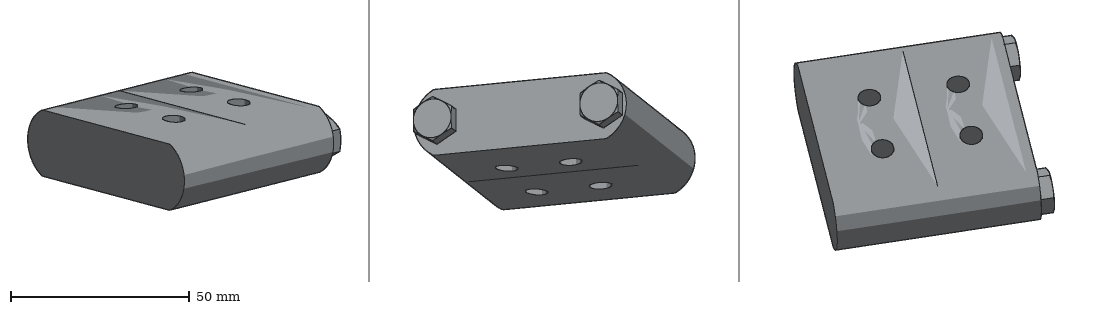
import cadquery as cq
import math

body_width = 63.2
body_length = 58.45
body_height = 19.25
flat_half_width = 25.4

edge_land_width = 0.5
edge_land_drop = 0.1

overall_height = 22.85
pad_pitch = 25.4
pad_row_offset = 0.75
ridge_half_width = 25.15
crest_length = 10.1
groove_depth = 0.25

hole_diameter = 6.3
hole_spacing = 19.1

hex_sides = 6
head_height = 4.0
head_across_flats = 11.25
head_spacing = 49.5
head_corner_drop = 0.4

half_height = body_height / 2
ridge_height = (overall_height - body_height) / 2
end_face_y = body_length / 2
ridge_centers_y = [pad_row_offset + side * pad_pitch / 2 for side in (-1, 1)]


def make_body():
    land_edge_x = flat_half_width + edge_land_width
    land_edge_z = half_height - edge_land_drop
    return (
        cq.Workplane("XZ", origin=(0, end_face_y, 0))
        .moveTo(-flat_half_width, half_height)
        .lineTo(flat_half_width, half_height)
        .lineTo(land_edge_x, land_edge_z)
        .threePointArc((body_width / 2, 0), (land_edge_x, -land_edge_z))
        .lineTo(flat_half_width, -half_height)
        .lineTo(-flat_half_width, -half_height)
        .lineTo(-land_edge_x, -land_edge_z)
        .threePointArc((-body_width / 2, 0), (-land_edge_x, land_edge_z))
        .close()
        .extrude(body_length)
    )


def make_ridge(center_y):
    """A roof with its crest along Y, hipped at both ends, standing on the top face."""
    roof = (
        cq.Workplane("XZ", origin=(0, center_y + pad_pitch / 2, 0))
        .moveTo(-ridge_half_width, 0)
        .lineTo(-ridge_half_width, half_height)
        .lineTo(0, half_height + ridge_height)
        .lineTo(ridge_half_width, half_height)
        .lineTo(ridge_half_width, 0)
        .close()
        .extrude(pad_pitch)
    )
    hips = (
        cq.Workplane("YZ", origin=(-ridge_half_width, center_y, 0))
        .moveTo(-pad_pitch / 2, 0)
        .lineTo(-pad_pitch / 2, half_height)
        .lineTo(-crest_length / 2, half_height + ridge_height)
        .lineTo(crest_length / 2, half_height + ridge_height)
        .lineTo(pad_pitch / 2, half_height)
        .lineTo(pad_pitch / 2, 0)
        .close()
        .extrude(2 * ridge_half_width)
    )
    return roof.intersect(hips)


def make_groove(center_y):
    """A trough along both roof slopes, deepest at the crest and fading out at the foot."""
    crest_z = half_height + ridge_height
    right_half = (
        cq.Workplane("YZ", origin=(0, center_y, 0))
        .moveTo(-crest_length / 2, crest_z)
        .threePointArc((0, crest_z - groove_depth), (crest_length / 2, crest_z))
        .lineTo(crest_length / 2, overall_height)
        .lineTo(-crest_length / 2, overall_height)
        .close()
        .workplane(offset=ridge_half_width)
        .moveTo(-crest_length / 2, half_height)
        .lineTo(crest_length / 2, half_height)
        .lineTo(crest_length / 2, overall_height)
        .lineTo(-crest_length / 2, overall_height)
        .close()
        .loft(ruled=True)
    )
    return right_half.union(right_half.mirror("YZ"))


def make_bolt_head(center_x):
    """A hexagon with corners up and down, its outer corners bevelled to a round top."""
    across_corners = head_across_flats / math.cos(math.pi / hex_sides)
    corner_reach = (across_corners - head_across_flats) / 2
    base = cq.Workplane("XZ", origin=(center_x, end_face_y, 0))
    hexagon = base.transformed(rotate=(0, 0, 90)).polygon(hex_sides, across_corners).extrude(-head_height)
    bevelled_disc = (
        base.circle(across_corners / 2)
        .extrude(-head_height)
        .faces(">Y")
        .chamfer(head_corner_drop, corner_reach)
    )
    return hexagon.intersect(bevelled_disc)


result = make_body()

for ridge_y in ridge_centers_y:
    ridge = make_ridge(ridge_y)
    result = result.union(ridge).union(ridge.mirror("XY"))

for ridge_y in ridge_centers_y:
    groove = make_groove(ridge_y)
    result = result.cut(groove).cut(groove.mirror("XY"))

hole_points = [(side * hole_spacing / 2, y) for side in (-1, 1) for y in ridge_centers_y]
holes = (
    cq.Workplane("XY", origin=(0, 0, -overall_height / 2))
    .pushPoints(hole_points)
    .circle(hole_diameter / 2)
    .extrude(overall_height)
)
result = result.cut(holes)

for side in (-1, 1):
    result = result.union(make_bolt_head(side * head_spacing / 2))